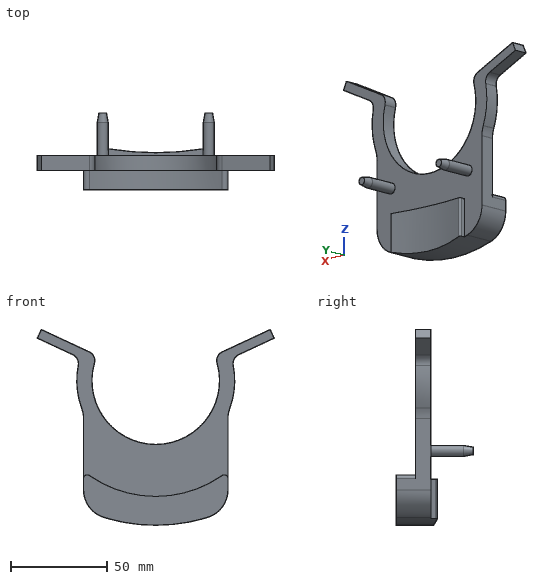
import cadquery as cq
import math

PLATE_THICKNESS = 8.0
RING_INNER_RADIUS = 33.0
RING_OUTER_RADIUS = 41.0
BODY_HALF_WIDTH = 37.5
NECK_RADIUS = 15.0
BOTTOM_Z = -75.0
BOTTOM_RADIUS = 90.0
BOTTOM_CENTRE = (0.0, BOTTOM_Z + BOTTOM_RADIUS)
BOTTOM_CORNER_RADIUS = 15.0

ARM_ANGLE = math.radians(25.0)
ARM_REACH = 65.0
ARM_TOP_OFFSET = 1.0
ARM_WIDTH = 5.0
ARM_BOTTOM_OFFSET = ARM_TOP_OFFSET + ARM_WIDTH
ARM_BEND_RADIUS = 5.0

LEDGE_HEIGHT = 10.0
LEDGE_TOP_RADIUS = 60.0
LEDGE_TIP_RADIUS = 2.0

PAD_HALF_WIDTH = 25.0
PAD_TOP_Z = -51.0
PAD_CENTRE_HEIGHT = 1.4
PAD_HOLLOW_RADIUS = 150.0
PAD_EDGE_RADIUS = 1.0

PIN_DIAMETER = 5.8
PIN_TIP_DIAMETER = 4.0
PIN_LENGTH = 22.0
PIN_TIP_LENGTH = 5.0
PIN_HALF_SPACING = 27.5
PIN_Z = -36.4

ORIGIN = (0.0, 0.0)


def leg(hypotenuse, other_leg):
    """Remaining leg of a right triangle."""
    return math.sqrt(hypotenuse ** 2 - other_leg ** 2)


def point_towards(start, target, distance):
    """Point at the given distance from start on the ray through target."""
    ratio = distance / math.dist(start, target)
    return (start[0] + (target[0] - start[0]) * ratio, start[1] + (target[1] - start[1]) * ratio)


def add_stretch(outline, centre, start, end):
    """Continue an outline from start to end: the shorter arc about centre, or a line if there is none."""
    if centre is None:
        return outline.lineTo(*end)
    chord_middle = ((start[0] + end[0]) / 2, (start[1] + end[1]) / 2)
    return outline.threePointArc(point_towards(centre, chord_middle, math.dist(centre, start)), end)


def arm_point(along, below):
    """XZ point at a distance along the arm direction and below the arm's line through the ring axis."""
    x = along * math.cos(ARM_ANGLE) + below * math.sin(ARM_ANGLE)
    z = along * math.sin(ARM_ANGLE) - below * math.cos(ARM_ANGLE)
    return (x, z)


def arm_bend(edge_offset, ring_radius):
    """Bend joining an arm edge to a ring circle: its centre, point on the ring, point on the arm."""
    centre_offset = edge_offset + ARM_BEND_RADIUS
    along = leg(ring_radius + ARM_BEND_RADIUS, centre_offset)
    centre = arm_point(along, centre_offset)
    return centre, point_towards(ORIGIN, centre, ring_radius), arm_point(along, edge_offset)


def bottom_corner():
    """Rounded lower corner: its centre, point on the bottom arc, point on the side."""
    x = BODY_HALF_WIDTH - BOTTOM_CORNER_RADIUS
    z = BOTTOM_CENTRE[1] - leg(BOTTOM_RADIUS - BOTTOM_CORNER_RADIUS, x)
    centre = (x, z)
    return centre, point_towards(BOTTOM_CENTRE, centre, BOTTOM_RADIUS), (BODY_HALF_WIDTH, z)


def symmetric_profile(bottom_z, side, top_z):
    """Closed XZ profile, symmetric about Z.

    side lists the +X side upwards from the bottom arc to the top arc as (arc centre, end point),
    with no centre for a straight stretch; its first entry is only the starting point.
    The bottom and top arcs cross the Z axis at bottom_z and top_z.
    """
    points = [end for _, end in side]
    mirrored_points = [(-x, z) for x, z in points]
    outline = cq.Workplane("XZ").moveTo(*mirrored_points[0])
    outline = outline.threePointArc((0, bottom_z), points[0])
    for index in range(1, len(side)):
        outline = add_stretch(outline, side[index][0], points[index - 1], points[index])
    outline = outline.threePointArc((0, top_z), mirrored_points[-1])
    for index in range(len(side) - 1, 0, -1):
        centre = side[index][0]
        mirrored_centre = (-centre[0], centre[1]) if centre else None
        outline = add_stretch(outline, mirrored_centre, mirrored_points[index], mirrored_points[index - 1])
    return outline.close()


def make_plate():
    corner_centre, corner_low, corner_high = bottom_corner()
    neck_x = BODY_HALF_WIDTH + NECK_RADIUS
    neck_centre = (neck_x, -leg(RING_OUTER_RADIUS + NECK_RADIUS, neck_x))
    outer_centre, outer_on_ring, outer_on_arm = arm_bend(ARM_BOTTOM_OFFSET, RING_OUTER_RADIUS)
    inner_centre, inner_on_ring, inner_on_arm = arm_bend(ARM_TOP_OFFSET, RING_INNER_RADIUS)
    side = [
        (None, corner_low),
        (corner_centre, corner_high),
        (None, (BODY_HALF_WIDTH, neck_centre[1])),
        (neck_centre, point_towards(ORIGIN, neck_centre, RING_OUTER_RADIUS)),
        (ORIGIN, outer_on_ring),
        (outer_centre, outer_on_arm),
        (None, arm_point(ARM_REACH, ARM_BOTTOM_OFFSET)),
        (None, arm_point(ARM_REACH, ARM_TOP_OFFSET)),
        (None, inner_on_arm),
        (inner_centre, inner_on_ring),
    ]
    return symmetric_profile(BOTTOM_Z, side, -RING_INNER_RADIUS).extrude(PLATE_THICKNESS)


def make_ledge():
    """Raised crescent on the front face, following the bottom of the plate."""
    corner_centre, corner_low, corner_high = bottom_corner()
    tip_x = BODY_HALF_WIDTH - LEDGE_TIP_RADIUS
    tip_centre = (tip_x, -leg(LEDGE_TOP_RADIUS + LEDGE_TIP_RADIUS, tip_x))
    side = [
        (None, corner_low),
        (corner_centre, corner_high),
        (None, (BODY_HALF_WIDTH, tip_centre[1])),
        (tip_centre, point_towards(ORIGIN, tip_centre, LEDGE_TOP_RADIUS)),
    ]
    ledge = symmetric_profile(BOTTOM_Z, side, -LEDGE_TOP_RADIUS).extrude(LEDGE_HEIGHT)
    return ledge.translate((0, -PLATE_THICKNESS, 0))


def make_pad():
    """Rear pad: flat top and sides, bottom flush with the plate, hollowed by a vertical cylinder."""
    edge_y = PAD_CENTRE_HEIGHT + PAD_HOLLOW_RADIUS - leg(PAD_HOLLOW_RADIUS, PAD_HALF_WIDTH)
    column = (
        cq.Workplane("XY", origin=(0, 0, BOTTOM_Z))
        .moveTo(-PAD_HALF_WIDTH, 0)
        .lineTo(PAD_HALF_WIDTH, 0)
        .lineTo(PAD_HALF_WIDTH, edge_y)
        .threePointArc((0, PAD_CENTRE_HEIGHT), (-PAD_HALF_WIDTH, edge_y))
        .close()
        .extrude(PAD_TOP_Z - BOTTOM_Z)
        .edges("|Z and >Y")
        .fillet(PAD_EDGE_RADIUS)
    )
    bottom_round = cq.Workplane("XZ").center(*BOTTOM_CENTRE).circle(BOTTOM_RADIUS).extrude(-edge_y)
    return column.intersect(bottom_round)


def make_pin(x):
    """Round pin with a tapered tip, standing on the rear face."""
    shank_length = PIN_LENGTH - PIN_TIP_LENGTH
    radius = PIN_DIAMETER / 2
    half_section = (
        cq.Workplane("XY")
        .lineTo(radius, 0)
        .lineTo(radius, shank_length)
        .lineTo(PIN_TIP_DIAMETER / 2, PIN_LENGTH)
        .lineTo(0, PIN_LENGTH)
        .close()
    )
    return half_section.revolve(360, (0, 0), (0, 1)).translate((x, 0, PIN_Z))


result = make_plate().union(make_ledge()).union(make_pad())
for pin_x in (-PIN_HALF_SPACING, PIN_HALF_SPACING):
    result = result.union(make_pin(pin_x))